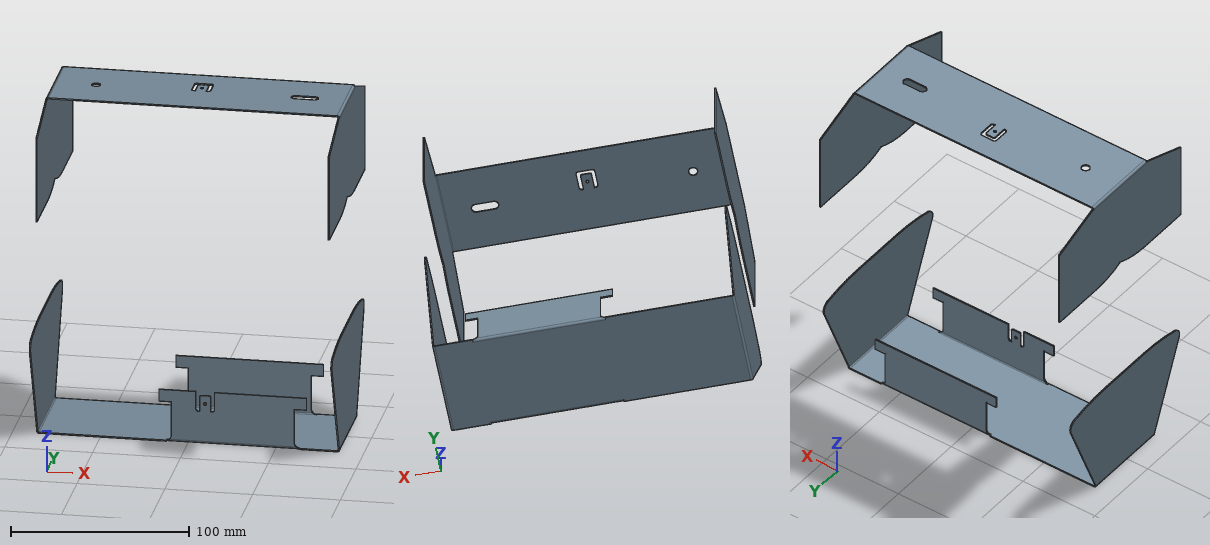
import cadquery as cq

sheet = 0.8
bend_inside = 0.6
bend_outside = bend_inside + sheet
right_face = 86.3
total_height = 201.5

upper_length = 167.3
upper_plate_width = 50.5
upper_wall_width = 115.0
upper_wall_height = 62.5
shoulder_drop = 12.7
arch_half_width = 23.2
arch_rise = 4.6
upper_center_x = right_face - upper_length / 2

fixing_offset = 59.5
fixing_width = 5.0
fixing_slot_length = 15.5

lower_length = 2 * right_face
lower_plate_width = 55.5
lower_center_y = lower_plate_width / 2 - upper_plate_width / 2
lower_wall_height = 67.3
wall_corner_half_width = 53.5
wall_corner_drop = 5.0
wall_flat_half_width = 18.1
wall_corner_radius = 5.2

flap_height = 30.8
flap_stem_width = 70.2
flap_head_width = 84.0
flap_head_height = 7.0
flap_root_radius = 2.8
flap_center_x = 25.5

tongue_width = 6.2
tongue_gap = 2.2
tongue_cut_height = 11.7
tongue_hole_drop = 7.0
tongue_hole_diameter = 1.6
tongue_cut_radius = 1.5
tongue_corner_radius = 0.8
flap_tongue_x = 9.7
plate_tongue_top = 12.0


def bent_channel(length, height, width):
    """U-shaped sheet, base on Z = 0 and open upwards, centred on X and Y."""
    outer = (
        cq.Workplane("XY")
        .box(length, width, height, centered=(True, True, False))
        .edges("|Y and <Z")
        .fillet(bend_outside)
    )
    inner = (
        cq.Workplane("XY", origin=(0, 0, sheet))
        .box(length - 2 * sheet, width, height, centered=(True, True, False))
        .edges("|Y and <Z")
        .fillet(bend_inside)
    )
    return outer.cut(inner)


def tongue_cut(top_is_open):
    """U-shaped cutter in XY, top edge on Y = 0, passing through the sheet on both sides of Z = 0."""
    cut_width = tongue_width + 2 * tongue_gap
    cutter_height = 4 * sheet
    rounded = "|Z and <Y" if top_is_open else "|Z"
    slot = (
        cq.Workplane("XY", origin=(0, -tongue_cut_height / 2, 0))
        .box(cut_width, tongue_cut_height, cutter_height)
        .edges(rounded)
        .fillet(tongue_cut_radius)
    )
    tongue_length = tongue_cut_height - tongue_gap
    tongue = (
        cq.Workplane("XY", origin=(0, -tongue_gap - tongue_length / 2, 0))
        .box(tongue_width, tongue_length, cutter_height)
        .edges("|Z and >Y")
        .fillet(tongue_corner_radius)
    )
    hole = (
        cq.Workplane("XY", origin=(0, -tongue_hole_drop, -cutter_height / 2))
        .circle(tongue_hole_diameter / 2)
        .extrude(cutter_height)
    )
    return slot.cut(tongue).union(hole)


def upper_walls():
    """Both flat walls, standing up from Z = 0, notched at the foot where the plate bends into them."""
    plate_edge = upper_plate_width / 2
    wall_edge = upper_wall_width / 2
    arch_radius = (arch_half_width**2 + arch_rise**2) / (2 * arch_rise)
    outline = (
        cq.Workplane("YZ", origin=(-upper_length / 2, 0, 0))
        .moveTo(-plate_edge, bend_outside)
        .lineTo(plate_edge, bend_outside)
        .lineTo(plate_edge, sheet)
        .lineTo(wall_edge, shoulder_drop)
        .lineTo(wall_edge, upper_wall_height)
        .lineTo(arch_half_width, upper_wall_height)
        .radiusArc((0, upper_wall_height - arch_rise), -arch_radius)
        .radiusArc((-arch_half_width, upper_wall_height), -arch_radius)
        .lineTo(-wall_edge, upper_wall_height)
        .lineTo(-wall_edge, shoulder_drop)
        .lineTo(-plate_edge, sheet)
        .close()
    )
    left_wall = outline.extrude(sheet)
    return left_wall.union(left_wall.mirror("YZ"))


def upper_bracket():
    plate = bent_channel(upper_length, shoulder_drop, upper_plate_width)
    body = plate.union(upper_walls())
    body = body.rotate((0, 0, 0), (1, 0, 0), 180).translate((upper_center_x, 0, total_height))

    plate_middle = total_height - sheet / 2
    fixing_start = plate_middle - sheet
    round_hole = (
        cq.Workplane("XY", origin=(upper_center_x - fixing_offset, 0, fixing_start))
        .circle(fixing_width / 2)
        .extrude(2 * sheet)
    )
    long_hole = (
        cq.Workplane("XY", origin=(upper_center_x + fixing_offset, 0, fixing_start))
        .slot2D(fixing_slot_length, fixing_width)
        .extrude(2 * sheet)
    )
    tongue = tongue_cut(top_is_open=False).translate((upper_center_x, plate_tongue_top, plate_middle))
    return body.cut(round_hole).cut(long_hole).cut(tongue)


def lower_wall_outline():
    """Wall outline in YZ, extruded along the whole lower bracket, centred on Y = 0."""
    plate_edge = lower_plate_width / 2
    corner_z = lower_wall_height - wall_corner_drop
    arc_run = wall_corner_half_width - wall_flat_half_width
    arc_radius = (arc_run**2 + wall_corner_drop**2) / (2 * wall_corner_drop)
    corner_zone = cq.selectors.BoxSelector(
        (-lower_length, -lower_length, corner_z - sheet),
        (lower_length, lower_length, corner_z + sheet),
    )
    return (
        cq.Workplane("YZ", origin=(-lower_length / 2, 0, 0))
        .moveTo(-plate_edge, 0)
        .lineTo(plate_edge, 0)
        .lineTo(plate_edge, bend_outside)
        .lineTo(wall_corner_half_width, corner_z)
        .radiusArc((wall_flat_half_width, lower_wall_height), -arc_radius)
        .lineTo(-wall_flat_half_width, lower_wall_height)
        .radiusArc((-wall_corner_half_width, corner_z), -arc_radius)
        .lineTo(-plate_edge, bend_outside)
        .close()
        .extrude(lower_length)
        .edges(corner_zone)
        .edges("|X")
        .fillet(wall_corner_radius)
    )


def flap_outline():
    """T-shaped flap outline in XZ with rounded roots, extruded across the lower plate."""
    stem = flap_stem_width / 2
    head = flap_head_width / 2
    root = stem + flap_root_radius
    head_bottom = flap_height - flap_head_height
    root_top = sheet + flap_root_radius
    return (
        cq.Workplane("XZ", origin=(flap_center_x, lower_plate_width / 2, 0))
        .moveTo(-root, 0)
        .lineTo(root, 0)
        .lineTo(root, sheet)
        .radiusArc((stem, root_top), flap_root_radius)
        .lineTo(stem, head_bottom)
        .lineTo(head, head_bottom)
        .lineTo(head, flap_height)
        .lineTo(-head, flap_height)
        .lineTo(-head, head_bottom)
        .lineTo(-stem, head_bottom)
        .lineTo(-stem, root_top)
        .radiusArc((-root, sheet), flap_root_radius)
        .close()
        .extrude(lower_plate_width)
    )


def lower_bracket():
    channel = bent_channel(lower_length, lower_wall_height, 2 * wall_corner_half_width)
    tray = channel.intersect(lower_wall_outline())

    root_width = flap_stem_width + 2 * flap_root_radius
    root_strip = cq.Workplane("XY", origin=(flap_center_x, 0, 0)).box(
        root_width, lower_plate_width, sheet, centered=(True, True, False)
    )
    flap_channel = (
        bent_channel(lower_plate_width, flap_height, flap_head_width)
        .rotate((0, 0, 0), (0, 0, 1), 90)
        .translate((flap_center_x, 0, 0))
    )
    flaps = flap_channel.intersect(flap_outline())
    body = tray.cut(root_strip).union(flaps)

    tongue = (
        tongue_cut(top_is_open=True)
        .rotate((0, 0, 0), (1, 0, 0), 90)
        .translate((flap_tongue_x, (sheet - lower_plate_width) / 2, flap_height))
    )
    return body.cut(tongue).translate((0, lower_center_y, 0))


upper = upper_bracket()
lower = lower_bracket()
result = cq.Compound.makeCompound([*upper.solids().vals(), *lower.solids().vals()])